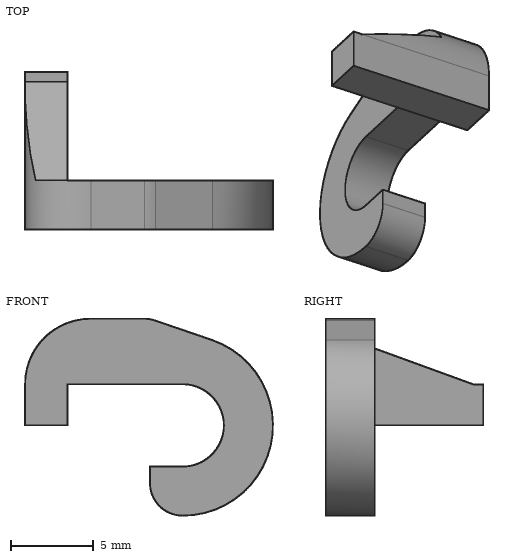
import cadquery as cq
import math

plate_thickness = 3.0
eye_radius = 2.5
rim_radius = 5.5
top_z = 6.5
left_x = -9.6
shoulder_radius = 4.0

slope_corner_x = -2.0
slope_blend_radius = 2.0

tip_radius = 2.0

arm_width = 2.6
arm_length = 9.6
gusset_end_y = 9.0
gusset_angle = 20.0

arm_right_x = left_x + arm_width


def polar(centre_x, centre_z, radius, angle):
    """Point on a circle, with the angle in radians measured from +Z towards +X."""
    return (centre_x + radius * math.sin(angle), centre_z + radius * math.cos(angle))


def hook_outline():
    """Closed outline of the hook, drawn on the XZ plane."""
    corner_distance = math.hypot(slope_corner_x, top_z)
    slope_angle = math.acos(rim_radius / corner_distance) + math.atan2(slope_corner_x, top_z)
    blend_x = slope_corner_x - slope_blend_radius * math.tan(slope_angle / 2)
    blend_z = top_z - slope_blend_radius
    shoulder_x = left_x + shoulder_radius
    shoulder_z = top_z - shoulder_radius
    rim_middle_angle = (slope_angle + math.pi) / 2

    return (
        cq.Workplane("XZ")
        .moveTo(left_x, 0)
        .lineTo(left_x, shoulder_z)
        .threePointArc(
            polar(shoulder_x, shoulder_z, shoulder_radius, -math.pi / 4),
            (shoulder_x, top_z),
        )
        .lineTo(blend_x, top_z)
        .threePointArc(
            polar(blend_x, blend_z, slope_blend_radius, slope_angle / 2),
            polar(blend_x, blend_z, slope_blend_radius, slope_angle),
        )
        .lineTo(*polar(0, 0, rim_radius, slope_angle))
        .threePointArc(polar(0, 0, rim_radius, rim_middle_angle), (0, -rim_radius))
        .threePointArc(
            polar(0, tip_radius - rim_radius, tip_radius, -3 * math.pi / 4),
            (-tip_radius, tip_radius - rim_radius),
        )
        .lineTo(-tip_radius, -eye_radius)
        .lineTo(0, -eye_radius)
        .threePointArc((eye_radius, 0), (0, eye_radius))
        .lineTo(arm_right_x, eye_radius)
        .lineTo(arm_right_x, 0)
        .close()
    )


def arm():
    """Arm with a gusset sloping down from the plate, trimmed to the hook outline."""
    gusset_top_z = eye_radius + gusset_end_y * math.tan(math.radians(gusset_angle))
    side_profile = (
        cq.Workplane("YZ", origin=(left_x, 0, 0))
        .polyline(
            [
                (0, 0),
                (arm_length, 0),
                (arm_length, eye_radius),
                (gusset_end_y, eye_radius),
                (0, gusset_top_z),
            ]
        )
        .close()
        .extrude(arm_width)
    )
    return side_profile.intersect(hook_outline().extrude(-arm_length))


result = hook_outline().extrude(-plate_thickness).union(arm())